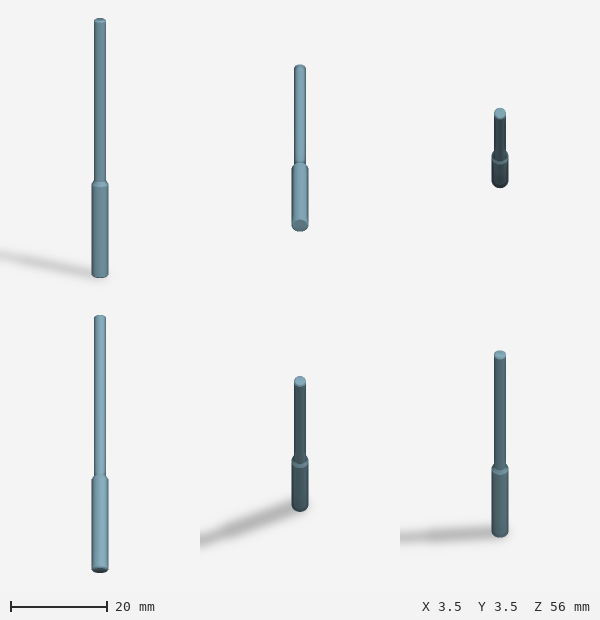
import cadquery as cq
import math

shank_diameter = 3.5
pin_diameter = 2.5
overall_length = 56.0
straight_shank_length = 20.0
taper_half_angle = 30.0
end_chamfer = 0.25

shank_radius = shank_diameter / 2
pin_radius = pin_diameter / 2
taper_height = (shank_radius - pin_radius) / math.tan(math.radians(taper_half_angle))
joint_height = straight_shank_length + taper_height
pin_length = overall_length - joint_height


def make_shank():
    """Straight shank, chamfered at the foot, with a nose tapering down to the pin diameter."""
    half_profile = [
        (0, 0),
        (shank_radius - end_chamfer, 0),
        (shank_radius, end_chamfer),
        (shank_radius, straight_shank_length),
        (pin_radius, joint_height),
        (0, joint_height),
    ]
    return cq.Workplane("XZ").polyline(half_profile).close().revolve(360, (0, 0, 0), (0, 1, 0))


def make_pin():
    """Round pin standing on the end face of the shank nose, chamfered at its free end."""
    pin = cq.Workplane("XY").workplane(offset=joint_height).circle(pin_radius).extrude(pin_length)
    return pin.faces(">Z").chamfer(end_chamfer)


shank = make_shank()
pin = make_pin()

result = cq.Compound.makeCompound([shank.val(), pin.val()])